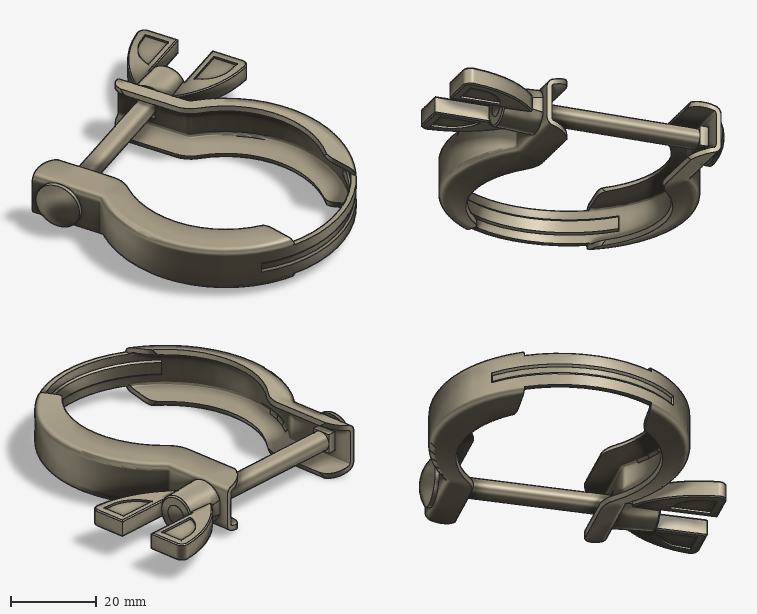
import cadquery as cq
import math

ring_radius = 30.5
lug_face_y = 22.0
lug_end_x = -39.5
bend_radius = 1.0
sheet = 1.25
flange_depth = 6.7
channel_height = 14.7
flange_angle = math.radians(17.0)
channel_corner_radius = 2.1
lug_corner_radius = 5.2
flange_end_radius = 5.0

strap_half_height = 4.15

bead_depth = 0.45
bead_half_angle = 46.0
groove_mouth_half = 1.3
groove_floor_half = 0.75
ridge_root_half = 1.95
ridge_crest_half = 1.5

bolt_x = -32.2
bolt_diameter = 4.9
neck_width = 4.9
neck_length = 3.35
head_radius = 5.75
head_rim = 1.0
head_height = 3.0

nut_length = 9.85
nut_base_radius = 5.3
nut_top_radius = 4.8
nut_top_chamfer = 0.35
nut_flat_half_width = 4.95
wing_thickness = 4.3
wing_gap = 9.1
wing_span = 28.66
wing_top_y = 45.41
wing_base_y = 24.8
wing_tip_radius = 2.0
wing_shoulder_y = 43.2
wing_edge_chamfer = 0.3
pocket_depth = 0.5

flange_tip_y = lug_face_y - flange_depth
flange_tip_radius = ring_radius - flange_depth
nut_top_y = lug_face_y + nut_length


def channel_section():
    """C-shaped section at the lug end: local x is +Y of the part, local y is Z."""
    sin_a, cos_a, tan_a = math.sin(flange_angle), math.cos(flange_angle), math.tan(flange_angle)
    half_angle = math.tan((math.pi / 2 - flange_angle) / 2)
    tip_outer_y = flange_tip_y + sheet * sin_a
    tip_inner_z = channel_height / 2 - sheet * cos_a
    corner_z = channel_height / 2 - (lug_face_y - tip_outer_y) * tan_a
    web_z = corner_z - channel_corner_radius * half_angle
    centre_y = lug_face_y - channel_corner_radius
    inner_radius = channel_corner_radius - sheet
    mid_angle = (math.pi / 2 - flange_angle) / 2

    def on_corner(radius, angle, side):
        return (centre_y + radius * math.cos(angle), side * (web_z + radius * math.sin(angle)))

    tangent = math.pi / 2 - flange_angle
    outer = channel_corner_radius
    return (
        cq.Workplane("YZ", origin=(lug_end_x, 0, 0))
        .moveTo(tip_outer_y, channel_height / 2)
        .lineTo(*on_corner(outer, tangent, 1))
        .threePointArc(on_corner(outer, mid_angle, 1), on_corner(outer, 0, 1))
        .lineTo(*on_corner(outer, 0, -1))
        .threePointArc(on_corner(outer, mid_angle, -1), on_corner(outer, tangent, -1))
        .lineTo(tip_outer_y, -channel_height / 2)
        .lineTo(flange_tip_y, -tip_inner_z)
        .lineTo(*on_corner(inner_radius, tangent, -1))
        .threePointArc(on_corner(inner_radius, mid_angle, -1), on_corner(inner_radius, 0, -1))
        .lineTo(*on_corner(inner_radius, 0, 1))
        .threePointArc(on_corner(inner_radius, mid_angle, 1), on_corner(inner_radius, tangent, 1))
        .lineTo(flange_tip_y, tip_inner_z)
        .close()
    )


def channel_path():
    """Outer face line: lug, bend, ring, bend and the opposite lug."""
    bend_y = lug_face_y + bend_radius
    bend_x = -math.sqrt((ring_radius + bend_radius) ** 2 - bend_y**2)
    tangent = math.atan2(bend_y, bend_x)
    join = (ring_radius * math.cos(tangent), ring_radius * math.sin(tangent))
    mid = (tangent + math.pi + math.pi * 1.5) / 2
    bend_mid = (bend_x + bend_radius * math.cos(mid), bend_y + bend_radius * math.sin(mid))
    return (
        cq.Workplane("XY")
        .moveTo(lug_end_x, lug_face_y)
        .lineTo(bend_x, lug_face_y)
        .threePointArc(bend_mid, join)
        .threePointArc((ring_radius, 0), (join[0], -join[1]))
        .threePointArc((bend_mid[0], -bend_mid[1]), (bend_x, -lug_face_y))
        .lineTo(lug_end_x, -lug_face_y)
    )


def lug_corner_cutter():
    """Waste outside the rounded flange corner at the end of the +Y lug."""
    r = lug_corner_radius
    bulge = r * (1 - math.sqrt(0.5))
    return (
        cq.Workplane("XY", origin=(0, 0, -channel_height))
        .moveTo(lug_end_x, flange_tip_y)
        .lineTo(lug_end_x, flange_tip_y + r)
        .threePointArc((lug_end_x + bulge, flange_tip_y + bulge), (lug_end_x + r, flange_tip_y))
        .close()
        .extrude(2 * channel_height)
    )


def flange_cutter():
    """Waste that ends the flanges at the strap, with rounded ends on the flange tips."""
    r = flange_end_radius
    centre_y = flange_tip_y + r
    centre_x = math.sqrt((flange_tip_radius + r) ** 2 - centre_y**2)
    ratio = flange_tip_radius / (flange_tip_radius + r)
    start = (centre_x * ratio, centre_y * ratio)
    mid = (math.atan2(-centre_y, -centre_x) - math.pi / 2) / 2
    middle = (centre_x + r * math.cos(mid), centre_y + r * math.sin(mid))
    return (
        cq.Workplane("XY")
        .moveTo(0, 0)
        .lineTo(*start)
        .threePointArc(middle, (centre_x, flange_tip_y))
        .lineTo(2 * ring_radius, flange_tip_y)
        .lineTo(2 * ring_radius, -flange_tip_y)
        .lineTo(centre_x, -flange_tip_y)
        .threePointArc((middle[0], -middle[1]), (start[0], -start[1]))
        .close()
        .extrude(channel_height)
    )


def bead(face_radius, wide_half, narrow_half):
    """Trapezoid bar following the ring, pressed inward from the given face."""
    return (
        cq.Workplane("XZ")
        .polyline([
            (face_radius, -wide_half),
            (face_radius - bead_depth, -narrow_half),
            (face_radius - bead_depth, narrow_half),
            (face_radius, wide_half),
        ])
        .close()
        .revolve(2 * bead_half_angle, (0, 0, 0), (0, 1, 0))
        .rotate((0, 0, 0), (0, 0, 1), -bead_half_angle)
    )


def make_band():
    band = channel_section().sweep(channel_path(), transition="right")
    corner = lug_corner_cutter()
    band = band.cut(corner).cut(corner.mirror("XZ"))
    above_strap = flange_cutter().translate((0, 0, strap_half_height))
    band = band.cut(above_strap).cut(above_strap.mirror("XY"))
    bolt_holes = cq.Workplane("XY").box(neck_width, 3 * lug_face_y, neck_width).translate((bolt_x, 0, 0))
    band = band.cut(bolt_holes)
    band = band.union(bead(ring_radius - sheet, ridge_root_half, ridge_crest_half))
    return band.cut(bead(ring_radius, groove_mouth_half, groove_floor_half))


def make_bolt():
    """Domed head under the -Y lug, square neck, and a shank ending flush with the nut."""
    head_y = -lug_face_y
    rim_y = head_y - head_rim
    apex_y = head_y - head_height
    dome_height = head_height - head_rim
    dome_radius = (head_radius**2 + dome_height**2) / (2 * dome_height)
    dome_mid_x = head_radius / 2
    dome_mid_y = apex_y + dome_radius - math.sqrt(dome_radius**2 - dome_mid_x**2)
    shank_radius = bolt_diameter / 2
    turned = (
        cq.Workplane("XY")
        .moveTo(0, apex_y)
        .threePointArc((dome_mid_x, dome_mid_y), (head_radius, rim_y))
        .lineTo(head_radius, head_y)
        .lineTo(shank_radius, head_y)
        .lineTo(shank_radius, nut_top_y)
        .lineTo(0, nut_top_y)
        .close()
        .revolve(360, (0, 0, 0), (0, 1, 0))
    )
    neck = cq.Workplane("XY").box(neck_width, neck_length, neck_width)
    neck = neck.translate((0, head_y + neck_length / 2, 0))
    return turned.union(neck).translate((bolt_x, 0, 0))


def make_wing():
    """The +X wing, with a shallow pocket in both faces, about a nut axis at X = 0."""
    inner_x = wing_gap / 2
    outer_x = wing_span / 2
    base_x = nut_flat_half_width
    edge_mid = (11.4, 33.1)
    wing = (
        cq.Workplane("XY", origin=(0, 0, -wing_thickness / 2))
        .moveTo(inner_x, nut_top_y - nut_top_chamfer)
        .lineTo(inner_x, wing_top_y)
        .lineTo(outer_x - wing_tip_radius, wing_top_y)
        .threePointArc((outer_x - 0.5, wing_top_y - 0.6), (outer_x, wing_shoulder_y))
        .threePointArc(edge_mid, (base_x, wing_base_y))
        .lineTo(0, wing_base_y)
        .lineTo(0, nut_top_y - nut_top_chamfer)
        .close()
        .extrude(wing_thickness)
        .faces("<Z or >Z")
        .chamfer(wing_edge_chamfer)
    )
    pocket = (
        cq.Workplane("XY", origin=(0, 0, wing_thickness / 2 - pocket_depth))
        .moveTo(6.0, 33.4)
        .lineTo(6.0, 43.4)
        .lineTo(12.2, 43.4)
        .lineTo(12.0, 41.5)
        .threePointArc((10.0, 36.0), (6.0, 33.4))
        .close()
        .extrude(wing_thickness)
    )
    return wing.cut(pocket).cut(pocket.mirror("XY"))


def make_nut():
    barrel = (
        cq.Workplane("XZ", origin=(0, lug_face_y, 0))
        .circle(nut_base_radius)
        .workplane(offset=-nut_length)
        .circle(nut_top_radius)
        .loft()
        .faces(">Y")
        .chamfer(nut_top_chamfer)
    )
    below_wings = wing_base_y - lug_face_y
    flats = (
        cq.Workplane("XY")
        .box(2 * nut_flat_half_width, below_wings, 3 * nut_base_radius)
        .translate((0, lug_face_y + below_wings / 2, 0))
    )
    above = (
        cq.Workplane("XY")
        .box(3 * nut_base_radius, nut_length, 3 * nut_base_radius)
        .translate((0, wing_base_y + nut_length / 2, 0))
    )
    barrel = barrel.intersect(flats.union(above))
    wing = make_wing()
    nut = barrel.union(wing).union(wing.mirror("YZ"))
    bore = cq.Workplane("XZ").circle(bolt_diameter / 2).extrude(-2 * nut_top_y)
    return nut.cut(bore).translate((bolt_x, 0, 0))


band = make_band()
bolt = make_bolt()
nut = make_nut()

result = cq.Compound.makeCompound([band.val(), bolt.val(), nut.val()])